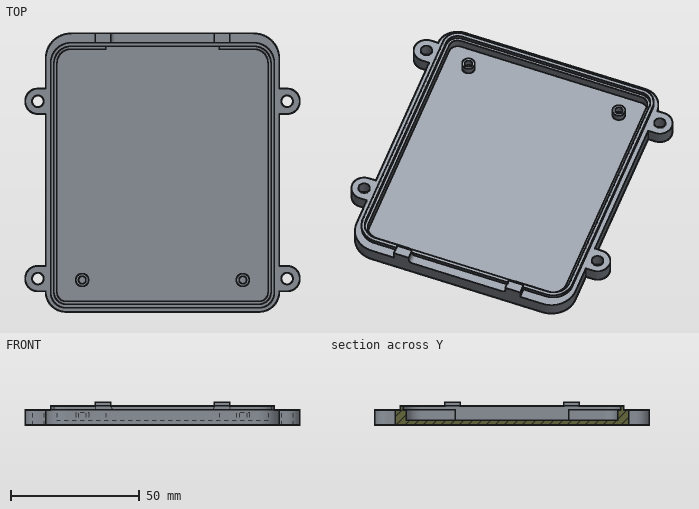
import cadquery as cq

body_width = 91.0
body_length = 108.5
body_height = 6.0
floor_thickness = 2.0
back_y = body_length / 2
front_y = -back_y
front_corner_radius = 8.0
back_corner_radius = 10.0

lip_top = 7.5
lip_side_inset = 2.0
lip_front_inset = 1.6
lip_back_inset = 3.7
lip_side_wall = 1.3
lip_end_wall = 1.4
lip_front_radius = front_corner_radius - lip_side_inset
lip_back_radius = 8.0
ledge_side_width = 1.2
ledge_end_width = 1.1
ledge_height = body_height

opening_side_inset = lip_side_inset + lip_side_wall
opening_front_inset = lip_front_inset + lip_end_wall
opening_back_inset = lip_back_inset + lip_end_wall
opening_front_radius = lip_front_radius - lip_side_wall
opening_back_radius = lip_back_radius - lip_end_wall
cavity_side_inset = opening_side_inset + ledge_side_width
cavity_front_inset = opening_front_inset + ledge_end_width
cavity_back_inset = opening_back_inset + ledge_end_width
cavity_front_radius = opening_front_radius - ledge_side_width
cavity_back_radius = opening_back_radius - ledge_side_width
ledge_gap_width = 44.2

tab_top = 9.0
tab_inner_x = 20.1
tab_outer_x = 26.3
tab_fillet = lip_top - body_height

overall_width = 107.0
ear_radius = 5.0
ear_hole_diameter = 4.5
ear_x = overall_width / 2 - ear_radius
back_ear_y = back_y - 26.5
front_ear_y = front_y + front_corner_radius + ear_radius

post_diameter = 5.0
post_bore = 2.9
post_height = 3.0
post_x = 31.2
post_y = front_y + 12.5


def rounded_block(side_inset, front_inset, back_inset, front_radius, back_radius, bottom, top):
    """Block inset from the body outline, with its own front and back corner radii."""
    width = body_width - 2 * side_inset
    length = body_length - front_inset - back_inset
    center_y = (front_inset - back_inset) / 2
    block = cq.Workplane("XY", origin=(0, center_y, bottom))
    block = block.rect(width, length).extrude(top - bottom)
    block = block.edges("|Z and <Y").fillet(front_radius)
    return block.edges("|Z and >Y").fillet(back_radius)


def ear(side, y):
    """Round-ended mounting ear on the given side, reaching inward to the body wall."""
    neck_length = ear_x - body_width / 2 + lip_side_inset
    neck = cq.Workplane("XY").center(side * (ear_x - neck_length / 2), y)
    neck = neck.rect(neck_length, 2 * ear_radius).extrude(body_height)
    end = cq.Workplane("XY").center(side * ear_x, y).circle(ear_radius).extrude(body_height)
    return neck.union(end)


def left_tab():
    """Latch tab with a concave fillet at the foot of its inner side."""
    profile = (
        cq.Workplane("XZ", origin=(0, back_y, 0))
        .moveTo(-tab_outer_x, body_height)
        .lineTo(-tab_outer_x, tab_top)
        .lineTo(-tab_inner_x, tab_top)
        .lineTo(-tab_inner_x, lip_top)
        .radiusArc((-tab_inner_x + tab_fillet, body_height), -tab_fillet)
        .close()
    )
    return profile.extrude(lip_back_inset)


tray = rounded_block(0, 0, 0, front_corner_radius, back_corner_radius, 0, body_height)
lip = rounded_block(
    lip_side_inset, lip_front_inset, lip_back_inset,
    lip_front_radius, lip_back_radius, floor_thickness, lip_top,
)
tray = tray.union(lip)

ear_centers = [(side, y) for side in (-1, 1) for y in (front_ear_y, back_ear_y)]
for side, y in ear_centers:
    tray = tray.union(ear(side, y))

opening = rounded_block(
    opening_side_inset, opening_front_inset, opening_back_inset,
    opening_front_radius, opening_back_radius, ledge_height, lip_top,
)
cavity = rounded_block(
    cavity_side_inset, cavity_front_inset, cavity_back_inset,
    cavity_front_radius, cavity_back_radius, floor_thickness, lip_top,
)
tray = tray.cut(opening).cut(cavity)

gap_center_y = back_y - opening_back_inset - ledge_end_width / 2
ledge_gap = cq.Workplane("XY", origin=(0, gap_center_y, floor_thickness))
ledge_gap = ledge_gap.rect(ledge_gap_width, ledge_end_width).extrude(ledge_height - floor_thickness)
tray = tray.cut(ledge_gap)

for side, y in ear_centers:
    hole = cq.Workplane("XY").center(side * ear_x, y).circle(ear_hole_diameter / 2)
    tray = tray.cut(hole.extrude(body_height))

tab = left_tab()
tray = tray.union(tab).union(tab.mirror("YZ"))

posts = (
    cq.Workplane("XY", origin=(0, 0, floor_thickness))
    .pushPoints([(-post_x, post_y), (post_x, post_y)])
    .circle(post_diameter / 2)
    .circle(post_bore / 2)
    .extrude(post_height)
)
result = tray.union(posts)